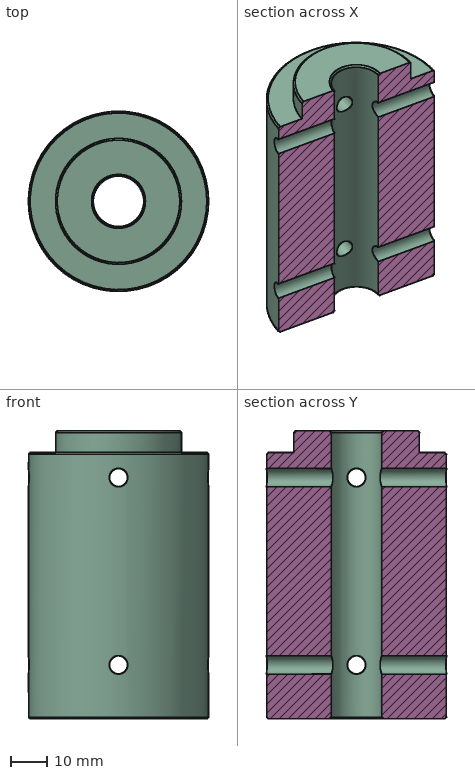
import cadquery as cq

body_diameter = 50.0
total_height = 80.0
spigot_diameter = 35.0
spigot_height = 6.0
bore_diameter = 14.0
edge_chamfer = 0.5

cross_hole_diameter = 5.0
lower_hole_height = 15.0
upper_hole_below_shoulder = 7.0

body_height = total_height - spigot_height
cross_hole_heights = (lower_hole_height, body_height - upper_hole_below_shoulder)


def chamfered_cylinder(diameter, height, chamfered_edges):
    """Upright cylinder on Z = 0 with the selected rim edges chamfered."""
    cylinder = cq.Workplane("XY").circle(diameter / 2).extrude(height)
    return cylinder.edges(chamfered_edges).chamfer(edge_chamfer)


def bore_cutter():
    """Through bore with a chamfered mouth at each end."""
    bore_radius = bore_diameter / 2
    mouth_radius = bore_radius + edge_chamfer
    return (
        cq.Workplane("XZ")
        .moveTo(0, 0)
        .lineTo(mouth_radius, 0)
        .lineTo(bore_radius, edge_chamfer)
        .lineTo(bore_radius, total_height - edge_chamfer)
        .lineTo(mouth_radius, total_height)
        .lineTo(0, total_height)
        .close()
        .revolve(360, (0, 0, 0), (0, 1, 0))
    )


def cross_hole_cutter(plane, height):
    """Hole across the full body diameter, normal to the given plane."""
    return (
        cq.Workplane(plane)
        .center(0, height)
        .circle(cross_hole_diameter / 2)
        .extrude(body_diameter / 2, both=True)
    )


body = chamfered_cylinder(body_diameter, body_height, "%CIRCLE")
spigot = chamfered_cylinder(spigot_diameter, total_height, ">Z")
result = body.union(spigot).cut(bore_cutter())

for hole_height in cross_hole_heights:
    for hole_plane in ("XZ", "YZ"):
        result = result.cut(cross_hole_cutter(hole_plane, hole_height))